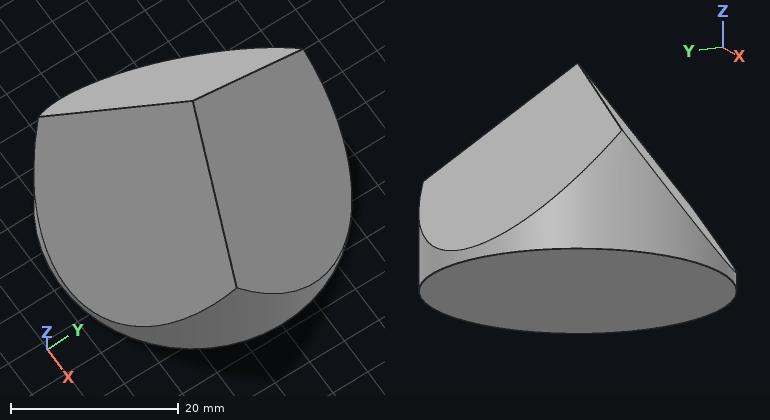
import cadquery as cq
import math

diameter = 38.1
height = 28.4
ridge_angles = (102.0, 222.0, 342.0)
ridge_bevel = 0.1
base_chamfer = 0.08

radius = diameter / 2
ridge_slope = 1 / math.sqrt(2)
bevel_depth = ridge_bevel / 2
apex_drop = bevel_depth * math.hypot(1, ridge_slope)
corner_height = height + apex_drop


def round_blank():
    blank = cq.Workplane("XY").circle(radius).extrude(corner_height)
    return blank.faces("<Z").chamfer(base_chamfer)


def corner_cube():
    """Cube standing on one corner, with its top corner on the Z axis."""
    side = 2 * diameter
    cube = cq.Workplane("XY").box(side, side, side, centered=False)
    diagonal_tilt = math.degrees(math.acos(1 / math.sqrt(3)))
    cube = cube.rotate((0, 0, 0), (1, -1, 0), diagonal_tilt)
    first_ridge = 45.0
    cube = cube.rotate((0, 0, 0), (0, 0, 1), ridge_angles[0] - first_ridge)
    return cube.translate((0, 0, corner_height - side * math.sqrt(3)))


def ridge_cutter(angle):
    """Solid above the sloping flat that blunts one ridge."""
    reach = 2 * radius
    section = (
        cq.Workplane("XZ")
        .moveTo(-reach, height + reach * ridge_slope)
        .lineTo(reach, height - reach * ridge_slope)
        .lineTo(reach, height + reach * ridge_slope)
        .close()
        .extrude(radius, both=True)
    )
    return section.rotate((0, 0, 0), (0, 0, 1), angle)


result = round_blank().intersect(corner_cube())
for ridge_angle in ridge_angles:
    result = result.cut(ridge_cutter(ridge_angle))